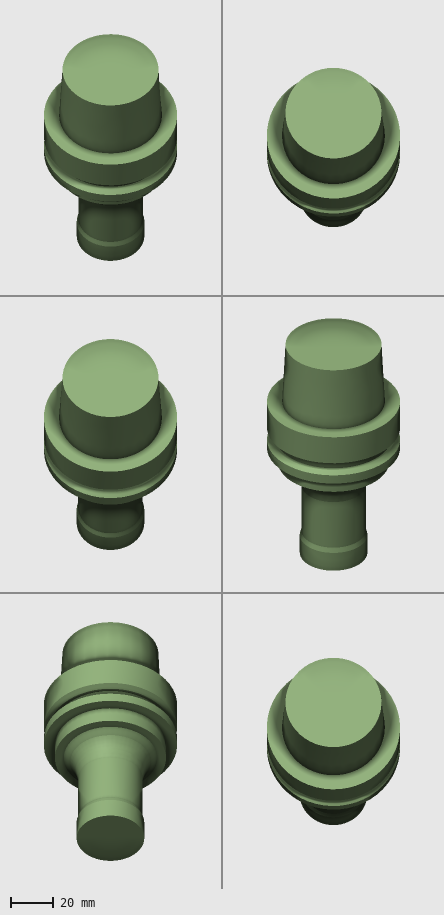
import cadquery as cq

TAPER_LENGTH = 32.0
PROJECTION = 85.0

TAPER_BASE_DIAMETER = 48.6
TAPER_RATIO = 1 / 10

FLANGE_DIAMETER = 63.0
FLANGE_THICKNESS = 26.0
GROOVE_FLOOR_DIAMETER = 55.0
GROOVE_CENTRE_DEPTH = 18.0
GROOVE_FLOOR_WIDTH = 3.9
GROOVE_MOUTH_WIDTH = 6.8
GROOVE_LIP_DIAMETER = 58.0

COLLAR_DIAMETER = 52.6
COLLAR_LENGTH = 8.0

FLARE_TOP_DIAMETER = 44.2
FLARE_ARC_TOP_DIAMETER = 38.2
FLARE_ARC_MID_DIAMETER = 34.4
FLARE_ARC_END_DIAMETER = 32.3
FLARE_UPPER_CONE_LENGTH = 2.6
FLARE_ARC_LENGTH = 6.3
FLARE_LOWER_CONE_LENGTH = 4.0

SHANK_DIAMETER = 30.5
END_RING_DIAMETER = 32.0
END_RING_LENGTH = 10.0
END_CONE_LENGTH = 2.5

taper_top_diameter = TAPER_BASE_DIAMETER - TAPER_RATIO * TAPER_LENGTH

groove_mouth_top = -GROOVE_CENTRE_DEPTH + GROOVE_MOUTH_WIDTH / 2
groove_mouth_bottom = -GROOVE_CENTRE_DEPTH - GROOVE_MOUTH_WIDTH / 2
groove_floor_top = -GROOVE_CENTRE_DEPTH + GROOVE_FLOOR_WIDTH / 2
groove_floor_bottom = -GROOVE_CENTRE_DEPTH - GROOVE_FLOOR_WIDTH / 2
collar_bottom = -FLANGE_THICKNESS - COLLAR_LENGTH
flare_arc_top = collar_bottom - FLARE_UPPER_CONE_LENGTH
flare_arc_middle = flare_arc_top - FLARE_ARC_LENGTH / 2
flare_arc_bottom = flare_arc_top - FLARE_ARC_LENGTH
shank_top = flare_arc_bottom - FLARE_LOWER_CONE_LENGTH
end_ring_top = -PROJECTION + END_RING_LENGTH
shank_bottom = end_ring_top + END_CONE_LENGTH


def rim(diameter, z):
    """Point of the half profile (radius, height) on the given diameter."""
    return (diameter / 2, z)


def half_profile():
    """Closed half section of the holder, from the top down to the end ring."""
    profile = cq.Workplane("XZ").moveTo(0, TAPER_LENGTH)

    profile = profile.lineTo(*rim(taper_top_diameter, TAPER_LENGTH))
    profile = profile.lineTo(*rim(TAPER_BASE_DIAMETER, 0))

    profile = profile.lineTo(*rim(FLANGE_DIAMETER, 0))
    profile = profile.lineTo(*rim(FLANGE_DIAMETER, groove_mouth_top))
    profile = profile.lineTo(*rim(GROOVE_LIP_DIAMETER, groove_floor_top))
    profile = profile.lineTo(*rim(GROOVE_FLOOR_DIAMETER, groove_floor_top))
    profile = profile.lineTo(*rim(GROOVE_FLOOR_DIAMETER, groove_floor_bottom))
    profile = profile.lineTo(*rim(GROOVE_LIP_DIAMETER, groove_floor_bottom))
    profile = profile.lineTo(*rim(FLANGE_DIAMETER, groove_mouth_bottom))
    profile = profile.lineTo(*rim(FLANGE_DIAMETER, -FLANGE_THICKNESS))

    profile = profile.lineTo(*rim(COLLAR_DIAMETER, -FLANGE_THICKNESS))
    profile = profile.lineTo(*rim(COLLAR_DIAMETER, collar_bottom))

    profile = profile.lineTo(*rim(FLARE_TOP_DIAMETER, collar_bottom))
    profile = profile.lineTo(*rim(FLARE_ARC_TOP_DIAMETER, flare_arc_top))
    profile = profile.threePointArc(
        rim(FLARE_ARC_MID_DIAMETER, flare_arc_middle),
        rim(FLARE_ARC_END_DIAMETER, flare_arc_bottom),
    )
    profile = profile.lineTo(*rim(SHANK_DIAMETER, shank_top))

    profile = profile.lineTo(*rim(SHANK_DIAMETER, shank_bottom))
    profile = profile.lineTo(*rim(END_RING_DIAMETER, end_ring_top))
    profile = profile.lineTo(*rim(END_RING_DIAMETER, -PROJECTION))
    return profile.lineTo(0, -PROJECTION).close()


result = half_profile().revolve(360, (0, 0, 0), (0, 1, 0))